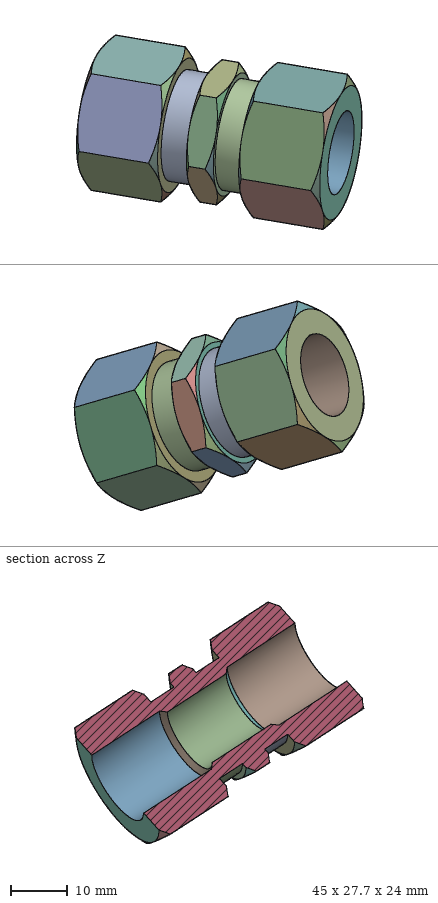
import cadquery as cq
import math

length = 45.0
nut_length = length / 3
nut_flats = 24.0
collar_length = nut_length / 3
collar_flats = 22.0
body_diameter = 20.0
tube_diameter = 15.0
bore_diameter = 13.0
socket_depth = nut_length
chamfer_angle = math.radians(30)
seat_half_angle = math.radians(45)

HEX_CORNER_RATIO = 2 / math.sqrt(3)


def chamfered_hexagon(start_x, width, across_flats):
    """Hexagon along X, corners on Y, with both ends turned to a cone."""
    across_corners = across_flats * HEX_CORNER_RATIO
    prism = (
        cq.Workplane("YZ", origin=(start_x, 0, 0))
        .polygon(6, across_corners)
        .extrude(width)
    )
    flat_radius = across_flats / 2
    corner_radius = across_corners / 2
    chamfer_length = (corner_radius - flat_radius) * math.tan(chamfer_angle)
    end_x = start_x + width
    turned_envelope = (
        cq.Workplane("XY")
        .moveTo(start_x, 0)
        .lineTo(start_x, flat_radius)
        .lineTo(start_x + chamfer_length, corner_radius)
        .lineTo(end_x - chamfer_length, corner_radius)
        .lineTo(end_x, flat_radius)
        .lineTo(end_x, 0)
        .close()
        .revolve(360, (0, 0, 0), (1, 0, 0))
    )
    return prism.intersect(turned_envelope)


def cylinder(start_x, width, diameter):
    return cq.Workplane("YZ", origin=(start_x, 0, 0)).circle(diameter / 2).extrude(width)


left_end = -length / 2
right_nut_start = length / 2 - nut_length

result = cylinder(left_end + nut_length, length - 2 * nut_length, body_diameter)
result = result.union(chamfered_hexagon(-collar_length / 2, collar_length, collar_flats))
for nut_start in (left_end, right_nut_start):
    result = result.union(chamfered_hexagon(nut_start, nut_length, nut_flats))

tube_radius = tube_diameter / 2
bore_radius = bore_diameter / 2
socket_end = left_end + socket_depth
seat_end = socket_end + (tube_radius - bore_radius) / math.tan(seat_half_angle)
passage = (
    cq.Workplane("XY")
    .moveTo(left_end, 0)
    .lineTo(left_end, tube_radius)
    .lineTo(socket_end, tube_radius)
    .lineTo(seat_end, bore_radius)
    .lineTo(-seat_end, bore_radius)
    .lineTo(-socket_end, tube_radius)
    .lineTo(-left_end, tube_radius)
    .lineTo(-left_end, 0)
    .close()
    .revolve(360, (0, 0, 0), (1, 0, 0))
)
result = result.cut(passage)